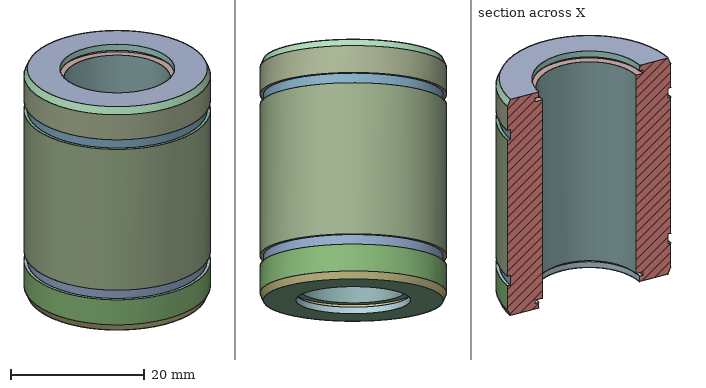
import cadquery as cq

length = 37.0
outer_diameter = 28.0
bore_diameter = 16.0

taper_length = 1.1
end_face_diameter = 27.0

groove_diameter = 27.0
groove_width = 1.6
groove_offset = 5.25

lip_diameter = 17.2
lip_depth = 1.0
undercut_diameter = 18.4
undercut_width = 0.5


def cylinder(diameter, height, base):
    return cq.Workplane("XY").workplane(offset=base).circle(diameter / 2).extrude(height)


def tapered_body():
    outer_radius = outer_diameter / 2
    end_radius = end_face_diameter / 2
    profile = [
        (0, 0),
        (end_radius, 0),
        (outer_radius, taper_length),
        (outer_radius, length - taper_length),
        (end_radius, length),
        (0, length),
    ]
    return cq.Workplane("XZ").polyline(profile).close().revolve(360, (0, 0), (0, 1))


def groove(base):
    ring = cylinder(outer_diameter + groove_width, groove_width, base)
    return ring.cut(cylinder(groove_diameter, groove_width, base))


result = tapered_body().cut(cylinder(bore_diameter, length, 0))

for groove_base in (groove_offset, length - groove_offset - groove_width):
    result = result.cut(groove(groove_base))

for lip_base in (0, length - lip_depth):
    result = result.cut(cylinder(lip_diameter, lip_depth, lip_base))

for undercut_base in (lip_depth, length - lip_depth - undercut_width):
    result = result.cut(cylinder(undercut_diameter, undercut_width, undercut_base))